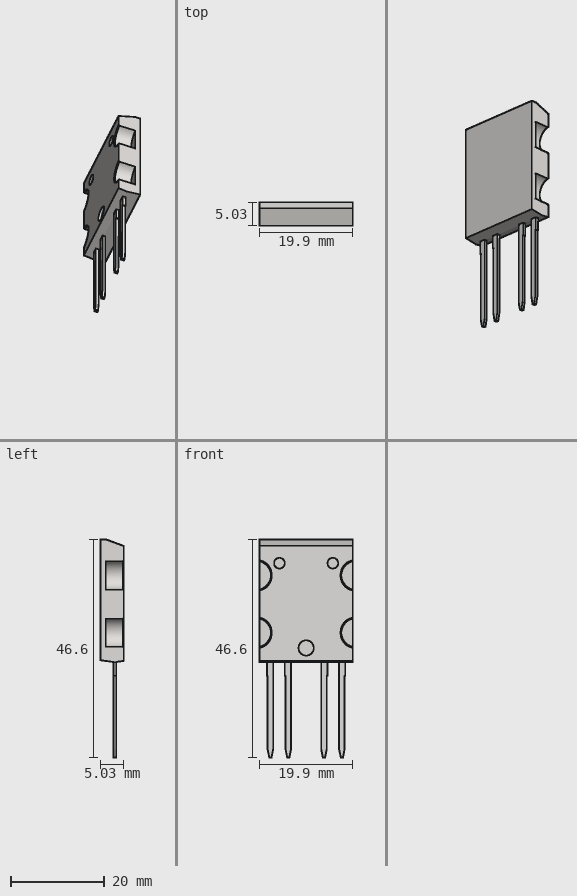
import cadquery as cq

body_width = 19.91
body_thickness = 5.03
total_height = 46.56
body_height = 26.22

front_y = -1.93
back_y = front_y + body_thickness
top_flat = 1.27
top_bevel_drop = 1.4
front_bottom_rise = 0.28
back_bottom_rise = 0.42

notch_radius = 3.09
notch_axis_offset = 0.65
notch_depth = 3.85
notch_chamfer = 0.2
upper_notch_drop = 7.67
notch_pitch = 12.24

recess_depth = 0.65
small_recess_diameter = 2.29
small_recess_x = 5.7
small_recess_drop = 5.08
large_recess_diameter = 3.26
large_recess_drop = 23.16

lead_length = total_height - body_height
lead_width = 1.24
lead_thickness = 0.66
inner_lead_x = 3.81
outer_lead_x = 2 * inner_lead_x
shoulder_length = 2.9
shoulder_step = 0.15
tip_length = 1.83
tip_width = 0.5
lead_embed = 1.0


def make_body():
    """Side profile with a bevelled top and a V-shaped bottom, extruded across the width."""
    profile = [
        (0, 0),
        (front_y, front_bottom_rise),
        (front_y, body_height - top_bevel_drop),
        (back_y - top_flat, body_height),
        (back_y, body_height),
        (back_y, back_bottom_rise),
    ]
    return cq.Workplane("YZ").polyline(profile).close().extrude(body_width / 2, both=True)


def front_cylinder(x, z, radius, depth):
    """Cylinder running from the front face into the body along +Y."""
    return cq.Workplane(cq.Solid.makeCylinder(
        radius, depth, cq.Vector(x, front_y, z), cq.Vector(0, 1, 0)))


def notch_cutter(side, z):
    """Cylindrical notch with a chamfered rim at the front face; side is -1 or +1."""
    axis_x = side * (body_width / 2 + notch_axis_offset)
    rim = cq.Solid.makeCone(
        notch_radius + notch_chamfer, notch_radius, notch_chamfer,
        cq.Vector(axis_x, front_y, z), cq.Vector(0, 1, 0))
    return front_cylinder(axis_x, z, notch_radius, notch_depth).union(cq.Workplane(rim))


def make_lead(side, center_x):
    """Pointed flat lead with a shoulder on its outer edge; side is -1 or +1."""
    inner_edge = side * (center_x - lead_width / 2)
    outer_edge = side * (center_x + lead_width / 2)
    shoulder_edge = outer_edge + side * shoulder_step
    tip_inner = side * (center_x - tip_width / 2)
    tip_outer = side * (center_x + tip_width / 2)
    taper_z = tip_length - lead_length
    outline = [
        (inner_edge, lead_embed),
        (inner_edge, taper_z),
        (tip_inner, -lead_length),
        (tip_outer, -lead_length),
        (outer_edge, taper_z),
        (outer_edge, -shoulder_length),
        (shoulder_edge, -shoulder_length),
        (shoulder_edge, lead_embed),
    ]
    return cq.Workplane("XZ").polyline(outline).close().extrude(lead_thickness / 2, both=True)


result = make_body()

upper_notch_z = body_height - upper_notch_drop
small_recess_z = body_height - small_recess_drop
for side in (-1, 1):
    for notch_z in (upper_notch_z, upper_notch_z - notch_pitch):
        result = result.cut(notch_cutter(side, notch_z))
    result = result.cut(front_cylinder(
        side * small_recess_x, small_recess_z, small_recess_diameter / 2, recess_depth))
    for lead_x in (inner_lead_x, outer_lead_x):
        result = result.union(make_lead(side, lead_x))

large_recess_z = body_height - large_recess_drop
result = result.cut(front_cylinder(0, large_recess_z, large_recess_diameter / 2, recess_depth))